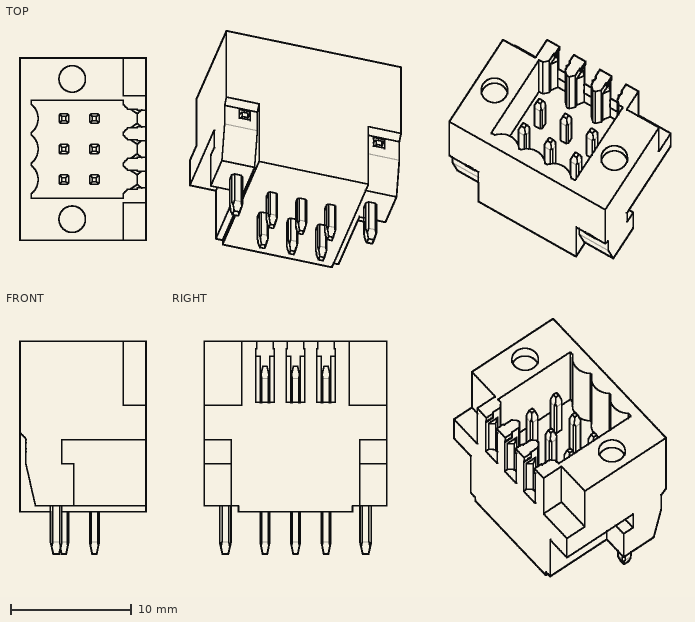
import cadquery as cq

LENGTH = 10.5
WIDTH = 15.18
HEIGHT = 14.2
PIN_DROP = 3.5

PITCH = 2.54
ROW_Y = [-PITCH, 0.0, PITCH]
BACK_PIN_X = 3.66
FRONT_PIN_X = BACK_PIN_X + PITCH

CENTRE_WIDTH = 9.5
CORE_WIDTH = 10.66
STANDOFF = 0.5
LEG_SETBACK = 0.5
LEG_CHAMFER_TOP = 6.6
LEG_TAPER_TOP = 4.0
LEG_TOE_X = 1.3
LEG_FOOT_X = 4.5
LEG_HOOK_X = 3.5
LEG_HOOK_Z = 4.0
SIDE_LEDGE_Z = 6.0
CORE_TOP_Z = HEIGHT / 2

NOTCH_X = 8.6
NOTCH_DEPTH = 5.33
NOTCH_INNER_Y = 4.45

CAVITY_BACK_X = 0.95
CAVITY_FRONT_X = NOTCH_X
CAVITY_WIDTH = 8.16
CAVITY_FLOOR_Z = 7.1
SCALLOP_CHORD = 2.36
SCALLOP_RISE = 0.57

SLOT_WIDTH = 1.56
SLOT_MOUTH_WIDTH = 2.32
SLOT_TOP_WIDTH = 1.38
SLOT_STEP_X = 9.76
SLOT_TAB_DEPTH = 0.65
SILL_Z = 9.1
LUG_START_X = 9.2
LUG_END_X = 10.2
LUG_GAP = 0.8
LUG_TOP_DEPTH = 1.25
LUG_TOP_Z = HEIGHT - LUG_TOP_DEPTH

HOLE_X = 4.35
HOLE_Y = 5.83
HOLE_DIAMETER = 2.2
HOLE_DEPTH = 1.15

PIN_SIZE = 0.8
PIN_CHAMFER = 0.14
PIN_TIP_SIZE = 0.4
PIN_TIP_LENGTH = 1.0
CONTACT_LENGTH = 5.0
CONTACT_TIP_SIZE = 0.34
PIN_EMBED = 1.0

MOUNT_X = 3.02
MOUNT_Y = 5.83
MOUNT_SIZE = 0.96
MOUNT_CHAMFER = 0.2
MOUNT_TIP_SIZE = 0.5
MOUNT_ARM_Z = 5.5


def box(x_start, x_end, y_start, y_end, z_start, z_end):
    """Axis-aligned block given by its limits."""
    size = (x_end - x_start, y_end - y_start, z_end - z_start)
    return cq.Workplane("XY").box(*size, centered=False).translate((x_start, y_start, z_start))


def centred_box(x_start, x_end, width, z_start, z_end):
    """Block centred on the XZ plane."""
    return box(x_start, x_end, -width / 2, width / 2, z_start, z_end)


def frustum(start_size, end_size, length):
    """Square frustum rising from the origin along Z."""
    return (
        cq.Workplane("XY")
        .rect(start_size, start_size)
        .workplane(offset=length)
        .rect(end_size, end_size)
        .loft()
    )


def pointed_pin(size, chamfer, tip_size, length):
    """Upright pin with bevelled edges and a tapered top, standing on the origin."""
    shaft_length = length - PIN_TIP_LENGTH
    bevelled = cq.Workplane("XY").rect(size, size).extrude(length).edges("|Z").chamfer(chamfer)
    tip = frustum(size, tip_size, PIN_TIP_LENGTH).translate((0, 0, shaft_length))
    outline = cq.Workplane("XY").rect(size, size).extrude(shaft_length).union(tip)
    return bevelled.intersect(outline)


def make_housing():
    """Side profile with two legs, the narrower core and the central block."""
    side_profile = [
        (0, HEIGHT),
        (0, LEG_CHAMFER_TOP),
        (LEG_SETBACK, LEG_CHAMFER_TOP - LEG_SETBACK),
        (LEG_SETBACK, LEG_TAPER_TOP),
        (LEG_TOE_X, STANDOFF),
        (LEG_FOOT_X, STANDOFF),
        (LEG_FOOT_X, LEG_HOOK_Z),
        (LEG_HOOK_X, LEG_HOOK_Z),
        (LEG_HOOK_X, SIDE_LEDGE_Z),
        (LENGTH, SIDE_LEDGE_Z),
        (LENGTH, HEIGHT),
    ]
    sides = cq.Workplane("XZ").polyline(side_profile).close().extrude(WIDTH / 2, both=True)
    core = centred_box(LEG_HOOK_X, LENGTH, CORE_WIDTH, STANDOFF, CORE_TOP_Z)
    centre = centred_box(0, LENGTH, CENTRE_WIDTH, 0, CORE_TOP_Z)
    return sides.union(core).union(centre)


def cut_notches(body):
    """Open the two upper front corners."""
    notch = box(NOTCH_X, LENGTH, NOTCH_INNER_Y, WIDTH / 2, HEIGHT - NOTCH_DEPTH, HEIGHT)
    return body.cut(notch).cut(notch.mirror("XZ"))


def make_cavity():
    """Plug cavity whose back wall bulges inward as one arc per contact row."""
    half_width = CAVITY_WIDTH / 2
    outline = cq.Workplane("XY").workplane(offset=CAVITY_FLOOR_Z)
    outline = outline.moveTo(CAVITY_FRONT_X, half_width)
    outline = outline.lineTo(CAVITY_FRONT_X, -half_width).lineTo(CAVITY_BACK_X, -half_width)
    for row_y in ROW_Y:
        outline = outline.lineTo(CAVITY_BACK_X, row_y - SCALLOP_CHORD / 2)
        outline = outline.threePointArc(
            (CAVITY_BACK_X + SCALLOP_RISE, row_y),
            (CAVITY_BACK_X, row_y + SCALLOP_CHORD / 2),
        )
    outline = outline.lineTo(CAVITY_BACK_X, half_width)
    return outline.close().extrude(HEIGHT - CAVITY_FLOOR_Z)


def make_lug():
    """Triangular guide lug on the +Y face of a slot."""
    points = [
        (LUG_START_X, SLOT_WIDTH / 2),
        (SLOT_STEP_X, LUG_GAP / 2),
        (LUG_END_X, SLOT_WIDTH / 2),
    ]
    prism = cq.Workplane("XY").workplane(offset=CAVITY_FLOOR_Z).polyline(points).close()
    return prism.extrude(LUG_TOP_Z - CAVITY_FLOOR_Z)


def make_slot():
    """Slot through the front wall: bevelled mouth, raised sill, top tabs and guide lugs."""
    bevel = (SLOT_MOUTH_WIDTH - SLOT_WIDTH) / 2
    half_mouth = SLOT_MOUTH_WIDTH / 2
    half_slot = SLOT_WIDTH / 2
    entry_points = [
        (CAVITY_FRONT_X, -half_mouth),
        (CAVITY_FRONT_X + bevel, -half_slot),
        (SLOT_STEP_X, -half_slot),
        (SLOT_STEP_X, half_slot),
        (CAVITY_FRONT_X + bevel, half_slot),
        (CAVITY_FRONT_X, half_mouth),
    ]
    entry = cq.Workplane("XY").workplane(offset=CAVITY_FLOOR_Z).polyline(entry_points).close()
    tab_z = HEIGHT - SLOT_TAB_DEPTH
    slot = entry.extrude(HEIGHT - CAVITY_FLOOR_Z)
    slot = slot.union(centred_box(SLOT_STEP_X, LENGTH, SLOT_WIDTH, SILL_Z, tab_z))
    slot = slot.union(centred_box(SLOT_STEP_X, LENGTH, SLOT_TOP_WIDTH, tab_z, HEIGHT))
    lug = make_lug()
    return slot.cut(lug).cut(lug.mirror("XZ"))


def cut_cavity(body):
    """Remove the plug cavity and one slot per contact row."""
    body = body.cut(make_cavity())
    slot = make_slot()
    for row_y in ROW_Y:
        body = body.cut(slot.translate((0, row_y, 0)))
    return body


def cut_top_holes(body):
    """Blind round holes at both ends of the top face."""
    holes = (
        cq.Workplane("XY")
        .workplane(offset=HEIGHT - HOLE_DEPTH)
        .pushPoints([(HOLE_X, -HOLE_Y), (HOLE_X, HOLE_Y)])
        .circle(HOLE_DIAMETER / 2)
        .extrude(HOLE_DEPTH)
    )
    return body.cut(holes)


def add_signal_pins(body):
    """Contact pins in the cavity and solder pins below the housing."""
    contact = pointed_pin(PIN_SIZE, PIN_CHAMFER, CONTACT_TIP_SIZE, CONTACT_LENGTH + PIN_EMBED)
    contact = contact.translate((0, 0, CAVITY_FLOOR_Z - PIN_EMBED))
    solder = pointed_pin(PIN_SIZE, PIN_CHAMFER, PIN_TIP_SIZE, PIN_DROP + PIN_EMBED)
    solder = solder.mirror("XY").translate((0, 0, PIN_EMBED))
    for pin_x in (BACK_PIN_X, FRONT_PIN_X):
        for row_y in ROW_Y:
            body = body.union(contact.translate((pin_x, row_y, 0)))
            body = body.union(solder.translate((pin_x, row_y, 0)))
    return body


def add_mounting_pins(body):
    """Thicker pins under the legs, and their tapered arm ends flush in the back of the legs."""
    foot_z = STANDOFF + PIN_EMBED
    foot = pointed_pin(MOUNT_SIZE, MOUNT_CHAMFER, MOUNT_TIP_SIZE, PIN_DROP + foot_z)
    foot = foot.mirror("XY").translate((MOUNT_X, 0, foot_z))
    pocket_bottom = MOUNT_ARM_Z - MOUNT_SIZE / 2
    pocket_top = MOUNT_ARM_Z + MOUNT_SIZE / 2
    pocket_end = LEG_SETBACK + PIN_TIP_LENGTH
    pocket = centred_box(LEG_SETBACK, pocket_end, MOUNT_SIZE, pocket_bottom, pocket_top)
    arm_tip = frustum(MOUNT_SIZE, MOUNT_TIP_SIZE, PIN_TIP_LENGTH).rotate((0, 0, 0), (0, 1, 0), -90)
    arm_tip = arm_tip.translate((pocket_end, 0, MOUNT_ARM_Z))
    for pin_y in (-MOUNT_Y, MOUNT_Y):
        body = body.union(foot.translate((0, pin_y, 0)))
        body = body.cut(pocket.translate((0, pin_y, 0)))
        body = body.union(arm_tip.translate((0, pin_y, 0)))
    return body


housing = make_housing()
housing = cut_notches(housing)
housing = cut_cavity(housing)
housing = cut_top_holes(housing)
housing = add_signal_pins(housing)
result = add_mounting_pins(housing)